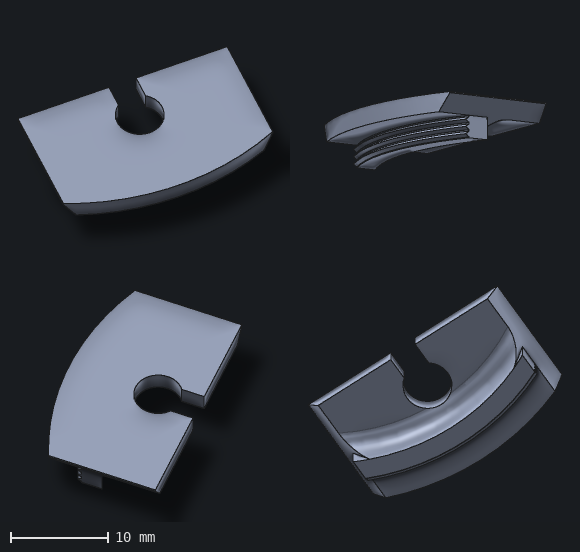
import cadquery as cq
import math


plate_length = 14.39
plate_width = 23.51
plate_thickness = 2.0
plate_radius = 28.5
plate_back_x = plate_radius - plate_length
edge_bevel_height = 0.15
edge_bevel_inset = 0.05

hole_radius = 2.5
hole_from_back = 4.5
hole_x = plate_back_x + hole_from_back
slot_width = 3.0

rib_width = 21.0
rib_depth = 2.35
rib_thickness = 2.05
tooth_tip_inset = 3.03
tooth_height = 0.38
tooth_base = 0.6
tooth_pitch = 0.755
tooth_count = 3
first_tooth_depth = 0.45
tooth_tip_radius = plate_radius - tooth_tip_inset
root_radius = tooth_tip_radius - tooth_height
rib_inner_radius = root_radius - rib_thickness
fillet_radius = rib_depth

side_slope = (plate_width - rib_width) / 2 / (plate_thickness - edge_bevel_height)


def revolve_profile(profile):
    """Revolve a radius/Z profile a full turn about the Z axis."""
    return profile.close().revolve(360, (0, 0, 0), (0, 1, 0))


def sloped_envelope():
    """Bar along X whose cross-section has the sloped sides, down to the rib's lower face."""
    top_half = plate_width / 2 - edge_bevel_inset
    bottom_half = rib_width / 2 - rib_depth * side_slope
    widest_z = plate_thickness - edge_bevel_height
    return (
        cq.Workplane("YZ", origin=(plate_back_x, 0, 0))
        .moveTo(-bottom_half, -rib_depth)
        .lineTo(bottom_half, -rib_depth)
        .lineTo(plate_width / 2, widest_z)
        .lineTo(top_half, plate_thickness)
        .lineTo(-top_half, plate_thickness)
        .lineTo(-plate_width / 2, widest_z)
        .close()
        .extrude(plate_length)
    )


def plate():
    disc = cq.Workplane("XY").circle(plate_radius).extrude(plate_thickness)
    return disc.intersect(sloped_envelope())


def toothed_rib():
    """Ring sector with concentric V teeth on its outer face and square-cut ends."""
    profile = cq.Workplane("XZ").moveTo(rib_inner_radius, 0).lineTo(root_radius, 0)
    for index in range(tooth_count):
        tip_z = -first_tooth_depth - index * tooth_pitch
        profile = (
            profile.lineTo(root_radius, tip_z + tooth_base / 2)
            .lineTo(tooth_tip_radius, tip_z)
            .lineTo(root_radius, tip_z - tooth_base / 2)
        )
    profile = profile.lineTo(root_radius, -rib_depth).lineTo(rib_inner_radius, -rib_depth)
    sector = cq.Workplane("XY").box(plate_radius, rib_width, rib_depth, centered=(False, True, False))
    return revolve_profile(profile).intersect(sector.translate((0, 0, -rib_depth)))


def rib_fillet():
    """Concave fillet between the plate and the rib's inner face, trimmed by the sloped sides."""
    start_radius = rib_inner_radius - fillet_radius
    diagonal = fillet_radius * math.sqrt(0.5)
    profile = (
        cq.Workplane("XZ")
        .moveTo(start_radius, 0)
        .threePointArc(
            (start_radius + diagonal, diagonal - fillet_radius),
            (rib_inner_radius, -fillet_radius),
        )
        .lineTo(root_radius, -fillet_radius)
        .lineTo(root_radius, 0)
    )
    return revolve_profile(profile).intersect(sloped_envelope())


def keyhole():
    height = plate_thickness + rib_depth
    base = cq.Workplane("XY", origin=(0, 0, -rib_depth))
    hole = base.center(hole_x, 0).circle(hole_radius).extrude(height)
    slot = base.center(hole_x - hole_from_back / 2, 0).rect(hole_from_back, slot_width).extrude(height)
    return hole.union(slot)


result = plate().union(toothed_rib()).union(rib_fillet()).cut(keyhole())